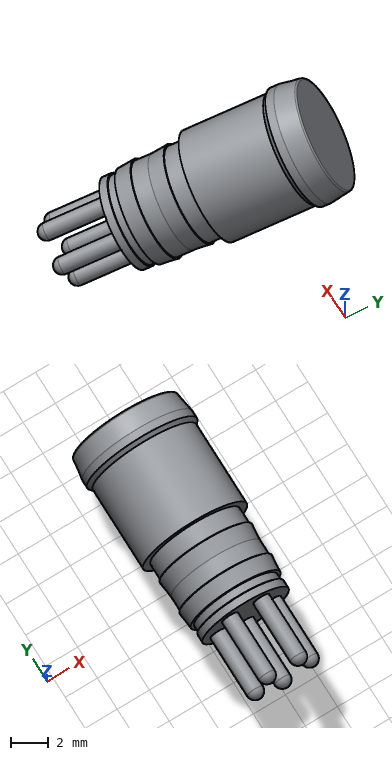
import cadquery as cq

REAR_CONE_END = 1.25
COLLAR_END = 1.75
COLLAR_LENGTH = 2.0
BARREL_END = 7.1
FIRST_BARB_START = 8.2
BARB_LENGTH = 1.0
BARB_PITCH = 2.0
BARB_COUNT = 2
NOSE_FACE = 12.2
FLANGE_THICKNESS = 0.5
TOTAL_LENGTH = 16.4

REAR_FACE_DIAMETER = 6.52
COLLAR_DIAMETER = 6.9
BARREL_DIAMETER = 6.5
SLEEVE_DIAMETER = 5.6
BARB_DIAMETER = 5.8
NECK_DIAMETER = 5.2
FLANGE_DIAMETER = 5.4

REAR_EDGE_RADIUS = 0.1

PIN_DIAMETER = 1.0
UPPER_PIN_SPACING = 1.94
UPPER_PIN_HEIGHT = 1.45
LOWER_PIN_SPACING = 3.4
LOWER_PIN_HEIGHT = -0.35
BOTTOM_PIN_HEIGHT = -1.35
PIN_EMBED = 0.5


def disc(diameter, start, end):
    """Cylinder on the Y axis between two axial stations."""
    return (
        cq.Workplane("XZ", origin=(0, -start, 0))
        .circle(diameter / 2)
        .extrude(end - start)
    )


def cone(start_diameter, end_diameter, start, end):
    """Truncated cone on the Y axis between two axial stations."""
    profile = [
        (0, -start),
        (start_diameter / 2, -start),
        (end_diameter / 2, -end),
        (0, -end),
    ]
    return cq.Workplane("XY").polyline(profile).close().revolve(360, (0, 0, 0), (0, 1, 0))


def make_collar():
    """Grip collar: tapered rear with a rounded edge, short land, chamfered front."""
    taper = cone(REAR_FACE_DIAMETER, COLLAR_DIAMETER, 0, REAR_CONE_END)
    taper = taper.faces(">Y").edges().fillet(REAR_EDGE_RADIUS)
    land = disc(COLLAR_DIAMETER, REAR_CONE_END, COLLAR_END)
    chamfer = cone(COLLAR_DIAMETER, BARREL_DIAMETER, COLLAR_END, COLLAR_LENGTH)
    return taper.union(land).union(chamfer)


def make_sleeve():
    """Narrow sleeve carrying the barbs, each tapering toward the pins."""
    last_barb_start = FIRST_BARB_START + (BARB_COUNT - 1) * BARB_PITCH
    sleeve = disc(SLEEVE_DIAMETER, BARREL_END, last_barb_start)
    for index in range(BARB_COUNT):
        start = FIRST_BARB_START + index * BARB_PITCH
        sleeve = sleeve.union(cone(BARB_DIAMETER, SLEEVE_DIAMETER, start, start + BARB_LENGTH))
    return sleeve


def make_nose():
    """Neck after the last barb and the flange that holds the pins."""
    neck_start = FIRST_BARB_START + (BARB_COUNT - 1) * BARB_PITCH + BARB_LENGTH
    flange_start = NOSE_FACE - FLANGE_THICKNESS
    neck = disc(NECK_DIAMETER, neck_start, flange_start)
    return neck.union(disc(FLANGE_DIAMETER, flange_start, NOSE_FACE))


def pin_centres():
    """(X, Z) positions of the five pins, symmetric about the YZ plane."""
    centres = [(0, BOTTOM_PIN_HEIGHT)]
    pairs = ((UPPER_PIN_SPACING, UPPER_PIN_HEIGHT), (LOWER_PIN_SPACING, LOWER_PIN_HEIGHT))
    for spacing, height in pairs:
        centres += [(spacing / 2, height), (-spacing / 2, height)]
    return centres


def make_pin():
    """Round-ended pin on the Y axis, starting inside the nose."""
    radius = PIN_DIAMETER / 2
    tip_start = TOTAL_LENGTH - radius
    shank_start = NOSE_FACE - PIN_EMBED
    shank = disc(PIN_DIAMETER, shank_start, tip_start)
    tip = (
        cq.Workplane("XY")
        .moveTo(0, -tip_start)
        .lineTo(radius, -tip_start)
        .radiusArc((0, -TOTAL_LENGTH), radius)
        .close()
        .revolve(360, (0, 0, 0), (0, 1, 0))
    )
    return shank.union(tip)


barrel = disc(BARREL_DIAMETER, COLLAR_LENGTH, BARREL_END)
result = make_collar().union(barrel).union(make_sleeve()).union(make_nose())

pin = make_pin()
for pin_x, pin_z in pin_centres():
    result = result.union(pin.translate((pin_x, 0, pin_z)))